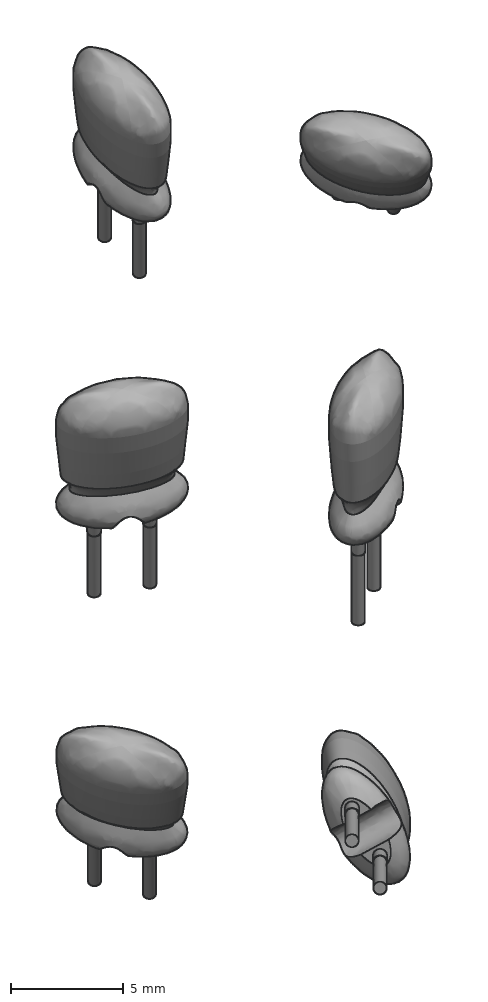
import cadquery as cq
import math

BASE_Z = 0.0
LOBE_WIDEST_Z = 1.0
NECK_Z = 2.0
WAIST_Z = 2.4
SHOULDER_Z = 3.0
TAPER_Z = 4.0
BAND_BOTTOM_Z = 5.5
BAND_TOP_Z = 6.5
CENTRE_Z = 8.0
CREST_Z = 8.03

BASE = (1.75, 0.8)
FULL = (3.0, 1.5)
NECK = (2.4, 0.8)
WAIST = (2.4, 1.0)
SHOULDER = (2.8, 1.3)
TAPER = (2.88, 1.4)

QUARTER_TURN = math.pi / 2
PATCHES = 4
PATCH_ANGLE = 360 / PATCHES
CORNER_ANGLE = PATCH_ANGLE / 2
CREST_HALF_WIDTH = 1.5
RISE_STEPS = 6
PATCH_STEPS = 6

NOTCH_HALF_WIDTH = 0.8
NOTCH_HEIGHT = 1.17

LEAD_PITCH = 2.54
LEAD_RADIUS = 0.3
LEAD_LENGTH = 5.0
COLLAR_RADIUS = 0.32
COLLAR_LENGTH = 1.0


def ellipse_arc(section, z, start, end):
    """Horizontal elliptical arc at height z between two angles in degrees."""
    half_x, half_y = section
    return cq.Edge.makeEllipse(
        half_x, half_y, cq.Vector(0, 0, z), cq.Vector(0, 0, 1), cq.Vector(1, 0, 0), start, end
    )


def wall(levels):
    """Smooth solid through elliptical sections given as (section, height)."""
    wires = [cq.Wire.assembleEdges([ellipse_arc(s, z, 0, 360)]) for s, z in levels]
    return cq.Workplane(cq.Solid.makeLoft(wires))


def end_weight(angle):
    """Share of the end lobe in a direction: 1 at either end, 0 across the front and back."""
    return max(0.0, math.cos(2 * angle)) ** 2


def dome_point(angle, rise):
    """Point on the quarter ellipse climbing from the rim, set outward in the end lobes."""
    weight = end_weight(angle)
    flat = weight * CREST_HALF_WIDTH / FULL[0]
    reach = flat + (1 - flat) * math.cos(rise)
    height = CENTRE_Z - BAND_TOP_Z + weight * (CREST_Z - CENTRE_Z)
    return cq.Vector(
        FULL[0] * math.cos(angle) * reach,
        FULL[1] * math.sin(angle) * reach,
        BAND_TOP_Z + height * math.sin(rise),
    )


def corner_edge(corner):
    """Crease of the dome, from the band rim up to the dome centre."""
    angle = math.radians(corner)
    rises = [QUARTER_TURN * i / RISE_STEPS for i in range(RISE_STEPS + 1)]
    return cq.Edge.makeSpline([dome_point(angle, rise) for rise in rises])


def patch_points(corner):
    """Points inside the dome patch that starts at the given corner."""
    points = []
    for i in range(1, PATCH_STEPS):
        angle = math.radians(corner + PATCH_ANGLE * i / PATCH_STEPS)
        for j in range(1, RISE_STEPS):
            points.append(dome_point(angle, QUARTER_TURN * j / RISE_STEPS))
    return points


def dome():
    """Four-patch dome with a slight dip between two end crests."""
    corners = [CORNER_ANGLE + PATCH_ANGLE * i for i in range(PATCHES)]
    ribs = [corner_edge(corner) for corner in corners]
    rims = [ellipse_arc(FULL, BAND_TOP_Z, corner, corner + PATCH_ANGLE) for corner in corners]
    faces = [cq.Face.makeFromWires(cq.Wire.assembleEdges(rims))]
    for i in range(PATCHES):
        boundary = [rims[i], ribs[(i + 1) % PATCHES], ribs[i]]
        faces.append(cq.Face.makeNSidedSurface(boundary, patch_points(corners[i])))
    return cq.Workplane(cq.Solid.makeSolid(cq.Shell.makeShell(faces)))


def notch():
    """Half-elliptical arch running through the body in Y."""
    depth = 2 * FULL[1]
    return cq.Workplane("XZ").ellipse(NOTCH_HALF_WIDTH, NOTCH_HEIGHT).extrude(depth, both=True)


def lead(x):
    """Round lead with a slightly thicker coated collar next to the body."""
    wire = cq.Workplane("XY", origin=(x, 0, -LEAD_LENGTH)).circle(LEAD_RADIUS).extrude(LEAD_LENGTH)
    collar = (
        cq.Workplane("XY", origin=(x, 0, -COLLAR_LENGTH))
        .circle(COLLAR_RADIUS)
        .extrude(COLLAR_LENGTH)
    )
    return wire.union(collar)


lobe = wall([(BASE, BASE_Z), (FULL, LOBE_WIDEST_Z), (NECK, NECK_Z)]).cut(notch())
neck = wall([(NECK, NECK_Z), (WAIST, WAIST_Z), (SHOULDER, SHOULDER_Z)])
shoulder = wall([(SHOULDER, SHOULDER_Z), (TAPER, TAPER_Z)])
taper = wall([(TAPER, TAPER_Z), (FULL, BAND_BOTTOM_Z)])
band = wall([(FULL, BAND_BOTTOM_Z), (FULL, BAND_TOP_Z)])

result = lobe
for piece in (neck, shoulder, taper, band, dome()):
    result = result.union(piece)
for side in (-1, 1):
    result = result.union(lead(side * LEAD_PITCH / 2))